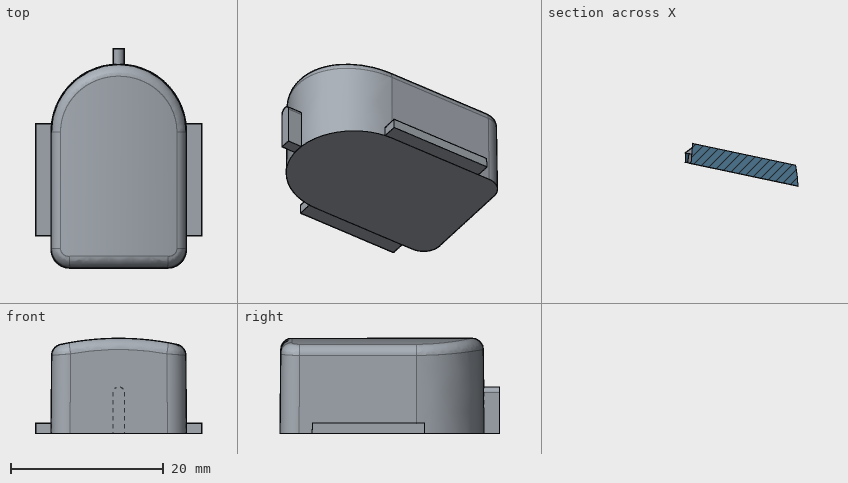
import cadquery as cq

overall_width = 21.75
overall_length = 28.75
overall_height = 12.5

housing_width = 17.77
housing_length = 26.75
draft_angle = 0.5
corner_radius = 2.5
crown_radius = 36.22
top_edge_radius = 1.5

flange_length = 14.72
flange_height = 1.38
flange_end_draft = 0.1
flange_front_offset = 4.2

rib_width = 1.5
rib_height = 6.12

back_radius = housing_width / 2
housing_front = back_radius - housing_length
rib_back = housing_front + overall_length


def make_housing():
    half_width = housing_width / 2
    walls = (
        cq.Workplane("XY")
        .moveTo(-half_width, housing_front)
        .lineTo(half_width, housing_front)
        .lineTo(half_width, 0)
        .threePointArc((0, back_radius), (-half_width, 0))
        .close()
        .extrude(overall_height, taper=draft_angle)
    )
    corner_zone = cq.selectors.BoxSelector(
        (-housing_width, housing_front - corner_radius, overall_height / 4),
        (housing_width, housing_front + corner_radius, overall_height * 3 / 4),
    )
    walls = walls.edges(corner_zone).fillet(corner_radius)
    crown = (
        cq.Workplane("XZ")
        .center(0, overall_height - crown_radius)
        .circle(crown_radius)
        .extrude(overall_length, both=True)
    )
    body = walls.intersect(crown)
    return body.faces(">Z").edges().fillet(top_edge_radius)


def make_flange(side, housing):
    """Bar with a sloped front end; its inner side follows the housing wall."""
    front = housing_front + flange_front_offset
    back = front + flange_length
    reach = overall_width / 2
    bar = (
        cq.Workplane("YZ")
        .polyline([
            (front, 0),
            (back, 0),
            (back, flange_height),
            (front + flange_end_draft, flange_height),
        ])
        .close()
        .extrude(side * reach)
    )
    return bar.cut(housing)


def make_rib(housing):
    """Upright rib with a half-round top, ending against the housing."""
    round_radius = rib_width / 2
    straight_height = rib_height - round_radius
    rib = (
        cq.Workplane("XZ")
        .moveTo(-round_radius, 0)
        .lineTo(round_radius, 0)
        .lineTo(round_radius, straight_height)
        .threePointArc((0, rib_height), (-round_radius, straight_height))
        .close()
        .extrude(-rib_back)
    )
    return rib.cut(housing)


housing = make_housing()
flanges = [make_flange(side, housing) for side in (-1, 1)]
rib = make_rib(housing)

result = cq.Compound.makeCompound([
    housing.val(),
    *[solid for flange in flanges for solid in flange.solids().vals()],
    *rib.solids().vals(),
])